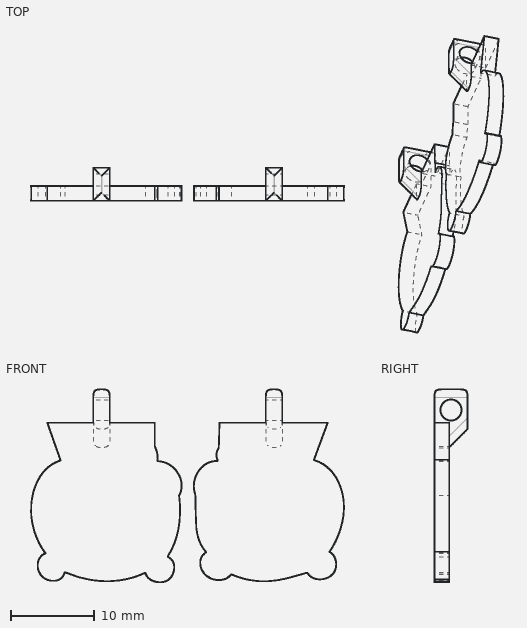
import cadquery as cq


plate_thickness = 1.8
charm_spacing = 20.69
lid_height = 19.19

loop_width = 2.0
loop_depth = 4.0
loop_rise = 4.0
loop_back_length = 4.77
loop_corner = 0.99 * loop_width / 2
corner_fullness = 0.8
loop_hole_diameter = 2.5
loop_hole_drop = 2.5

loop_top = lid_height + loop_rise
strip_reach = 2 * (loop_rise + loop_depth)

left_outline = [
    [(-6.52, 0.0)],
    [(-4.93, -4.53)],
    [(-6.71, -5.64), (-8.38, -9.30), (-8.04, -13.14), (-6.74, -15.68)],
    [(-7.67, -17.02), (-7.20, -18.40), (-5.42, -18.97), (-4.40, -17.96)],
    [(-2.62, -18.59), (0.68, -19.05), (3.45, -18.69), (5.24, -18.03)],
    [(6.00, -18.93), (7.98, -18.90), (8.74, -17.39), (7.95, -16.08)],
    [(8.96, -13.89), (9.43, -10.03), (9.32, -8.75)],
    [(9.60, -7.20), (8.82, -5.60), (6.73, -4.63)],
    [(6.69, -3.67), (6.40, -2.86)],
    [(6.40, 0.0)],
]
right_outline = [
    [(-6.46, 0.0)],
    [(-4.80, -4.49)],
    [(-6.90, -5.84), (-8.37, -9.50), (-7.96, -12.85), (-6.67, -15.50)],
    [(-7.47, -17.00), (-7.17, -18.03), (-5.80, -18.81), (-3.98, -18.02)],
    [(-2.05, -18.57), (0.95, -19.06), (3.43, -18.79), (5.12, -18.22)],
    [(6.54, -18.91), (8.25, -18.27), (8.87, -16.72), (8.15, -15.55)],
    [(9.05, -13.99), (9.41, -9.88), (9.45, -8.63)],
    [(9.60, -7.20), (8.44, -5.15), (6.75, -4.61)],
    [(6.91, -3.75), (6.64, -3.05)],
    [(6.55, 0.0)],
]


def make_plate(outline, centre_x, inward):
    """Flat pot-shaped plate; inward is +1 or -1, the X direction of u."""

    def place(point):
        u, w = point
        return (centre_x + inward * u, lid_height + w)

    profile = cq.Workplane("XZ").moveTo(*place(outline[0][0]))
    for stretch in outline[1:]:
        points = [place(point) for point in stretch]
        if len(points) == 1:
            profile = profile.lineTo(*points[0])
        else:
            profile = profile.spline(points, includeCurrent=True)
    return profile.close().extrude(-plate_thickness)


def soft_ended_strip(plane, width):
    """Long strip with two soft corners on its end at the plane origin, running toward local -Y."""
    side = width / 2
    handle = loop_corner * (1 - corner_fullness)
    return (
        cq.Workplane(plane)
        .workplane(offset=-strip_reach / 2)
        .moveTo(-side, -strip_reach)
        .lineTo(-side, -loop_corner)
        .bezier([(-side, -handle), (-side + handle, 0), (-side + loop_corner, 0)], includeCurrent=True)
        .lineTo(side - loop_corner, 0)
        .bezier([(side - handle, 0), (side, -handle), (side, -loop_corner)], includeCurrent=True)
        .lineTo(side, -strip_reach)
        .close()
        .extrude(strip_reach)
    )


def make_loop(centre_x):
    """Hanging loop: soft top on all four sides and a soft-edged 45 degree underside."""
    mid_depth = loop_depth / 2
    underside_start = loop_top - loop_back_length
    front_plane = cq.Plane((centre_x, mid_depth, loop_top), xDir=(1, 0, 0), normal=(0, -1, 0))
    side_plane = cq.Plane((centre_x, mid_depth, loop_top), xDir=(0, 1, 0), normal=(1, 0, 0))
    slope_plane = cq.Plane((centre_x, loop_depth, underside_start), xDir=(1, 0, 0), normal=(0, 1, 1))
    return (
        soft_ended_strip(front_plane, loop_width)
        .intersect(soft_ended_strip(side_plane, loop_depth))
        .intersect(soft_ended_strip(slope_plane, loop_width))
    )


def make_charm(outline, centre_x, inward):
    """One charm: plate and loop fused, with the cord hole running along X."""
    cord_hole = (
        cq.Workplane("YZ")
        .workplane(offset=centre_x - loop_width / 2)
        .center(loop_depth / 2, loop_top - loop_hole_drop)
        .circle(loop_hole_diameter / 2)
        .extrude(loop_width)
    )
    plate = make_plate(outline, centre_x, inward)
    return plate.union(make_loop(centre_x)).cut(cord_hole)


left_charm = make_charm(left_outline, -charm_spacing / 2, 1)
right_charm = make_charm(right_outline, charm_spacing / 2, -1)

result = cq.Compound.makeCompound([left_charm.val(), right_charm.val()])